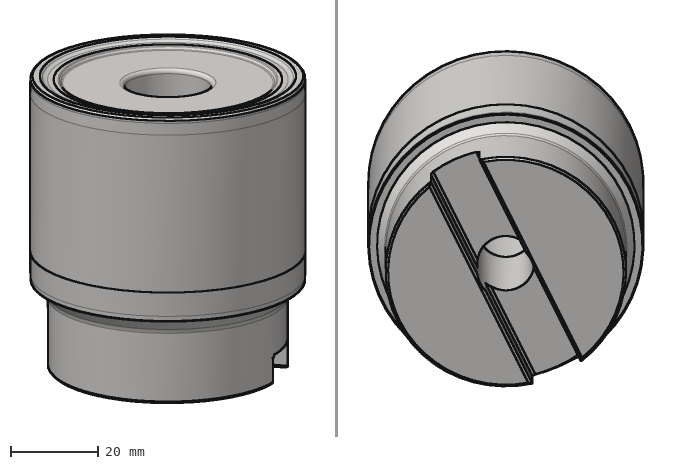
import cadquery as cq

HEIGHT = 70.0
SLEEVE_RADIUS = 31.6
SEAM_RADIUS = 26.2
SEAT_Z = 28.1
LEDGE_DEPTH = 0.85
LEDGE_Z = HEIGHT - LEDGE_DEPTH

RIM_RADIUS = 31.0
RIM_CORNER_HEIGHT = 0.6
LEAD_IN_RADIUS = 31.5
LEAD_IN_TOP_Z = 68.75
LEAD_IN_BOTTOM_Z = 65.95
RIM_INNER_RADIUS = 29.3
RIM_BEVEL_RADIUS = 28.8
RIM_BEVEL_DEPTH = 0.4
LEDGE_RADIUS = 27.6

COLLAR_RADIUS = 31.5
COLLAR_TOP_Z = 22.3
COLLAR_CHAMFER = 0.2
SHOULDER_Z = 21.0
SHOULDER_RADIUS = 29.5
NECK_RADIUS = 27.5
NECK_TOP_Z = 17.5
NECK_FILLET = 2.1
FOOT_CHAMFER = 0.55
PLATE_DEPTH = 1.6
PLATE_Z = HEIGHT - PLATE_DEPTH
RECESS_TOP_RADIUS = 25.0
PLATE_RADIUS = 24.3
RECESS_FILLET = 0.4

BORE_RADIUS = 6.5
BORE_CHAMFER = 0.5
COUNTERBORE_RADIUS = 9.95
COUNTERBORE_DEPTH = 35.0
COUNTERBORE_FILLET = 1.05

SELECT_MARGIN = 0.1

SLOT_WIDTH = 12.3
SLOT_HEIGHT = 7.1
SLOT_CHAMFER = 0.7


def revolve_about_z(profile):
    return profile.close().revolve(360, (0, 0, 0), (0, 1, 0))


def circle_selector(radius, z):
    """Select the edge that circles the Z axis at the given radius and height."""
    outer = radius + SELECT_MARGIN
    inner = radius - SELECT_MARGIN
    around = cq.selectors.BoxSelector(
        (-outer, -outer, z - SELECT_MARGIN), (outer, outer, z + SELECT_MARGIN), boundingbox=True
    )
    within = cq.selectors.BoxSelector(
        (-inner, -inner, z - SELECT_MARGIN), (inner, inner, z + SELECT_MARGIN), boundingbox=True
    )
    return around - within


def make_sleeve():
    bevel_z = HEIGHT - RIM_BEVEL_DEPTH
    sweep_width = RIM_BEVEL_RADIUS - LEDGE_RADIUS
    sweep_height = bevel_z - LEDGE_Z
    sweep_radius = (sweep_width**2 + sweep_height**2) / (2 * sweep_height)
    profile = (
        cq.Workplane("YZ")
        .moveTo(SEAM_RADIUS, SEAT_Z)
        .lineTo(SLEEVE_RADIUS, SEAT_Z)
        .lineTo(SLEEVE_RADIUS, LEAD_IN_BOTTOM_Z)
        .lineTo(LEAD_IN_RADIUS, LEAD_IN_TOP_Z)
        .lineTo(LEAD_IN_RADIUS, HEIGHT - RIM_CORNER_HEIGHT)
        .lineTo(RIM_RADIUS, HEIGHT)
        .lineTo(RIM_INNER_RADIUS, HEIGHT)
        .lineTo(RIM_BEVEL_RADIUS, bevel_z)
        .radiusArc((LEDGE_RADIUS, LEDGE_Z), sweep_radius)
        .lineTo(SEAM_RADIUS, LEDGE_Z)
    )
    return revolve_about_z(profile)


def core_blank():
    profile = (
        cq.Workplane("YZ")
        .moveTo(0, 0)
        .lineTo(NECK_RADIUS - FOOT_CHAMFER, 0)
        .lineTo(NECK_RADIUS, FOOT_CHAMFER)
        .lineTo(NECK_RADIUS, NECK_TOP_Z)
        .lineTo(SHOULDER_RADIUS, SHOULDER_Z)
        .lineTo(COLLAR_RADIUS - COLLAR_CHAMFER, SHOULDER_Z)
        .lineTo(COLLAR_RADIUS, SHOULDER_Z + COLLAR_CHAMFER)
        .lineTo(COLLAR_RADIUS, COLLAR_TOP_Z)
        .lineTo(SLEEVE_RADIUS, SEAT_Z)
        .lineTo(SEAM_RADIUS, SEAT_Z)
        .lineTo(SEAM_RADIUS, LEDGE_Z)
        .lineTo(RECESS_TOP_RADIUS, LEDGE_Z)
        .lineTo(PLATE_RADIUS, PLATE_Z)
        .lineTo(0, PLATE_Z)
    )
    blank = revolve_about_z(profile)
    blank = blank.edges(circle_selector(NECK_RADIUS, NECK_TOP_Z)).fillet(NECK_FILLET)
    blank = blank.edges(circle_selector(PLATE_RADIUS, PLATE_Z)).fillet(RECESS_FILLET)
    return blank.edges(circle_selector(RECESS_TOP_RADIUS, LEDGE_Z)).fillet(RECESS_FILLET)


def stepped_bore():
    step_z = PLATE_Z - COUNTERBORE_DEPTH
    profile = (
        cq.Workplane("YZ")
        .moveTo(0, 0)
        .lineTo(BORE_RADIUS, 0)
        .lineTo(BORE_RADIUS, step_z - BORE_CHAMFER)
        .lineTo(BORE_RADIUS + BORE_CHAMFER, step_z)
        .lineTo(COUNTERBORE_RADIUS, step_z)
        .lineTo(COUNTERBORE_RADIUS, PLATE_Z - COUNTERBORE_FILLET)
        .radiusArc((COUNTERBORE_RADIUS + COUNTERBORE_FILLET, PLATE_Z), COUNTERBORE_FILLET)
        .lineTo(0, PLATE_Z)
    )
    return revolve_about_z(profile)


def drive_slot():
    half = SLOT_WIDTH / 2
    return (
        cq.Workplane("YZ")
        .moveTo(-half - SLOT_CHAMFER, 0)
        .lineTo(-half, SLOT_CHAMFER)
        .lineTo(-half, SLOT_HEIGHT - SLOT_CHAMFER)
        .lineTo(-half + SLOT_CHAMFER, SLOT_HEIGHT)
        .lineTo(half - SLOT_CHAMFER, SLOT_HEIGHT)
        .lineTo(half, SLOT_HEIGHT - SLOT_CHAMFER)
        .lineTo(half, SLOT_CHAMFER)
        .lineTo(half + SLOT_CHAMFER, 0)
        .close()
        .extrude(NECK_RADIUS, both=True)
    )


def make_core():
    return core_blank().cut(stepped_bore()).cut(drive_slot())


sleeve = make_sleeve()
core = make_core()

result = cq.Compound.makeCompound([core.val(), sleeve.val()])